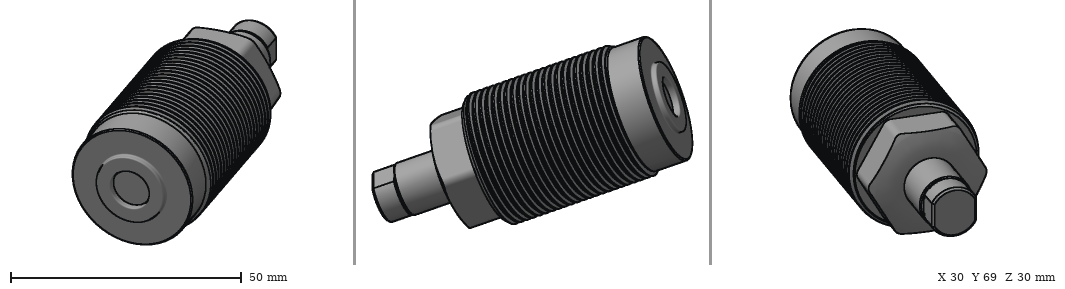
import cadquery as cq
import math


BOSS_RADIUS = 8.0
BOSS_HEIGHT = 1.25
PORT_RADIUS = 4.5
PORT_DEPTH = 1.6
BOSS_FILLET = 0.3

COLLAR_START = BOSS_HEIGHT
THREAD_START = 8.8
THREAD_END = 43.5
HEX_END = 53.0
ROD_END = 63.4
TIP_START = 63.7
TIP_END = 69.0

COLLAR_RADIUS = 14.2
COLLAR_CHAMFER = 0.3

THREAD_RADIUS = 15.0
PITCH = 1.5
THREAD_DEPTH = 0.8
GROOVE_ROOT_WIDTH = PITCH / 8
FLANK_HALF_ANGLE = 30.0
THREAD_FRONT_CHAMFER = THREAD_RADIUS - COLLAR_RADIUS
THREAD_REAR_CHAMFER = 1.0
CUTTER_OVERSIZE = 0.1

HEX_ACROSS_FLATS = 24.0
HEX_CORNER_FILLET = 2.0
DOME_FLAT_RADIUS = 6.4
DOME_ARC_RADIUS = 15.0
DOME_OUTER_RADIUS = 14.0

ROD_RADIUS = 6.0
ROD_CHAMFER = 0.3
NECK_RADIUS = 5.4
TIP_RADIUS = 5.8
TIP_CHAMFER = 0.5
TIP_ACROSS_FLATS = 10.2


def cylinder(radius, start, end):
    """Solid cylinder on the Y axis between two stations."""
    return cq.Workplane("XZ", origin=(0, start, 0)).circle(radius).extrude(start - end)


def collar_with_boss():
    """Collar carrying the port boss, its foot and edges blended."""
    collar = cylinder(COLLAR_RADIUS, COLLAR_START, THREAD_START)
    collar = collar.faces("<Y").edges().chamfer(COLLAR_CHAMFER)
    boss = cylinder(BOSS_RADIUS, 0, COLLAR_START)
    port = cylinder(PORT_RADIUS, 0, PORT_DEPTH)
    front = collar.union(boss)
    foot = front.faces("<Y[1]").edges(cq.selectors.RadiusNthSelector(0))
    front = foot.fillet(BOSS_FILLET)
    return front.cut(port).faces("<Y").edges().fillet(BOSS_FILLET)


def groove_turn():
    """Cutter for one turn of the thread groove, starting at +Z and climbing along +Y."""
    root_radius = THREAD_RADIUS - THREAD_DEPTH
    outer_radius = THREAD_RADIUS + CUTTER_OVERSIZE
    root_half = GROOVE_ROOT_WIDTH / 2
    outer_half = root_half + (outer_radius - root_radius) * math.tan(math.radians(FLANK_HALF_ANGLE))

    helix = cq.Wire.makeHelix(PITCH, PITCH, root_radius)
    return (
        cq.Workplane("XZ")
        .polyline([
            (root_radius, -root_half),
            (outer_radius, -outer_half),
            (outer_radius, outer_half),
            (root_radius, root_half),
        ])
        .close()
        .sweep(cq.Workplane(obj=helix), isFrenet=True)
        .rotate((0, 0, 0), (0, 0, 1), 90)
        .rotate((0, 0, 0), (1, 0, 0), 90)
        .rotate((0, 0, 0), (0, 0, 1), 180)
    )


def threaded_barrel():
    barrel = cylinder(THREAD_RADIUS, THREAD_START, THREAD_END)
    barrel = barrel.faces("<Y").edges().chamfer(THREAD_FRONT_CHAMFER)
    barrel = barrel.faces(">Y").edges().chamfer(THREAD_REAR_CHAMFER)

    groove = groove_turn()
    first_turn = math.floor(THREAD_START / PITCH) - 1
    last_turn = math.ceil(THREAD_END / PITCH)
    for turn in range(first_turn, last_turn + 1):
        barrel = barrel.cut(groove.translate((0, (turn + 0.5) * PITCH, 0)))
    return barrel


def domed_hexagon():
    """Hexagon with flats at +Z and -Z, its free end trimmed by a dome."""
    across_corners = HEX_ACROSS_FLATS / math.cos(math.radians(30))
    hexagon = (
        cq.Workplane("XZ", origin=(0, THREAD_END, 0))
        .polygon(6, across_corners)
        .extrude(THREAD_END - HEX_END)
        .edges("|Y")
        .fillet(HEX_CORNER_FILLET)
    )

    def dome_drop(radius):
        return DOME_ARC_RADIUS - math.sqrt(DOME_ARC_RADIUS**2 - (radius - DOME_FLAT_RADIUS) ** 2)

    middle_radius = (DOME_FLAT_RADIUS + DOME_OUTER_RADIUS) / 2
    dome = (
        cq.Workplane("XY")
        .moveTo(0, THREAD_END)
        .lineTo(0, HEX_END)
        .lineTo(DOME_FLAT_RADIUS, HEX_END)
        .threePointArc(
            (middle_radius, HEX_END - dome_drop(middle_radius)),
            (DOME_OUTER_RADIUS, HEX_END - dome_drop(DOME_OUTER_RADIUS)),
        )
        .lineTo(DOME_OUTER_RADIUS, THREAD_END)
        .close()
        .revolve(360, (0, 0, 0), (0, 1, 0))
    )
    return hexagon.intersect(dome)


def threaded_housing():
    return threaded_barrel().union(collar_with_boss()).union(domed_hexagon())


def piston_rod():
    """Rod standing on the flat of the dome, then a neck and a tip with wrench flats at +X and -X."""
    shank = cylinder(ROD_RADIUS, HEX_END, ROD_END).faces(">Y").edges().chamfer(ROD_CHAMFER)
    round_end = cylinder(NECK_RADIUS, ROD_END, TIP_START).union(cylinder(TIP_RADIUS, TIP_START, TIP_END))
    tip_length = TIP_END - ROD_END
    flats = cq.Workplane("XY", origin=(0, ROD_END + tip_length / 2, 0)).box(
        TIP_ACROSS_FLATS, tip_length, 2 * TIP_RADIUS
    )
    flatted_end = round_end.intersect(flats).faces(">Y").edges().chamfer(TIP_CHAMFER)
    return shank.union(flatted_end)


housing = threaded_housing()
rod = piston_rod()

result = cq.Compound.makeCompound([housing.solids().val(), rod.solids().val()])